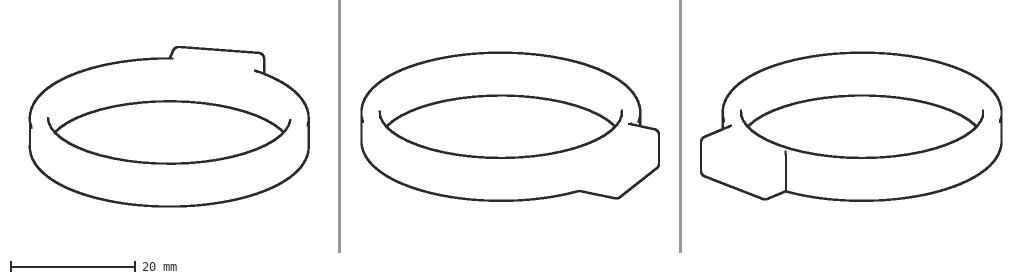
import cadquery as cq
import math

bore_diameter = 39.0
outer_diameter = 44.95
height = 7.0
edge_radius = 1.0
outer_radius = outer_diameter / 2

block_angle = 27.0
block_width = 15.0
block_offset = 3.25
block_right_side = block_offset + block_width / 2
root_radius = 1.0
overall_length = 51.0

turn = math.radians(block_angle)
tip_y = overall_length - outer_radius
corner_centre_x = block_right_side - edge_radius
corner_centre_y = (tip_y - edge_radius - corner_centre_x * math.sin(turn)) / math.cos(turn)
block_reach = corner_centre_y + edge_radius


def make_block():
    """Block from the ring axis outwards, with rounded upright outer corners."""
    return (
        cq.Workplane("XY")
        .center(block_offset, block_reach / 2)
        .rect(block_width, block_reach)
        .extrude(height)
        .edges("|Z and >Y")
        .fillet(edge_radius)
    )


def make_housing():
    """Ring and block in one piece, bored through and rounded along its rims, then at the block's root."""
    disc = cq.Workplane("XY").circle(outer_radius).extrude(height)
    bore = cq.Workplane("XY").circle(bore_diameter / 2).extrude(height)
    body = disc.union(make_block()).cut(bore)
    body = body.faces("<Z or >Z").edges().fillet(edge_radius)

    root_y = math.sqrt(outer_radius**2 - block_right_side**2)
    root_edge = cq.NearestToPointSelector((block_right_side, root_y, height / 2))
    body = body.edges("|Z").edges(root_edge).fillet(root_radius)

    return body.rotate((0, 0, 0), (0, 0, 1), block_angle)


housing = make_housing()

result = cq.Compound.makeCompound([housing.val()])